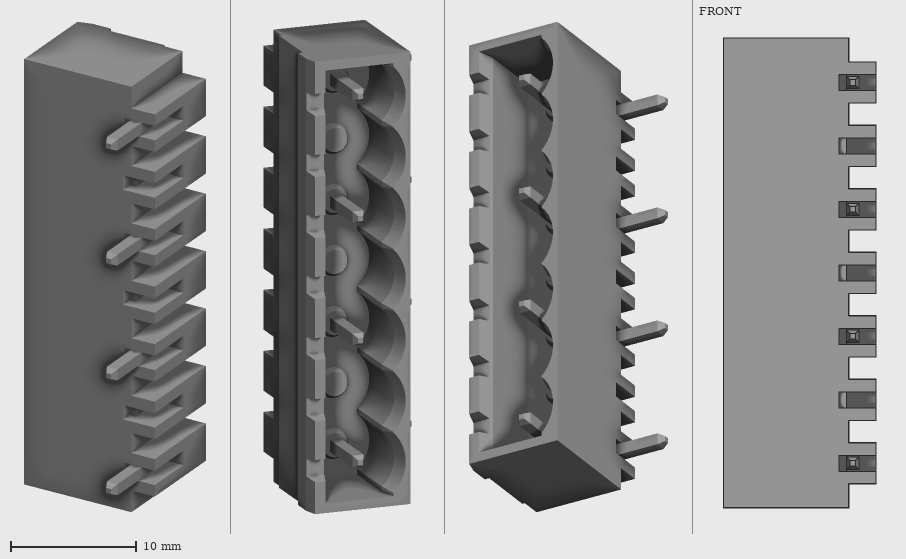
import cadquery as cq

positions = 7
pitch = 5.07
position_heights = [(i - (positions - 1) / 2) * pitch for i in range(positions)]
pin_heights = position_heights[::2]

length = 37.55
total_depth = 12.2
body_depth = 10.03
body_height = 7.85
shoulder_height = 8.08
shoulder_end = 8.2
rib_height = 8.5
rib_end = 2.95
rib_lead_in = 1.2
rib_lead_in_drop = 0.3

end_wall = 0.8
cavity_length = length - 2 * end_wall
cavity_depth = 7.0
axis_y = 3.9
lobe_radius = 3.08
valley_y = 1.88
cavity_top = 6.87
lip_depth = 1.5
lip_flare = 0.4

notch_depth = 1.13
notch_floor_width = 1.4
notch_mouth_width = 1.85

boss_base_radius = 1.28
boss_top_radius = 1.0
boss_height = 0.5

tab_width = 3.3
slot_width = 1.28
slot_entry_x = 9.25
slot_entry_depth = 1.0

pin_size = 0.98
contact_tip_x = 0.98
solder_pin_x = 10.33
solder_pin_length = 4.02
tip_length = 0.55
tip_size = 0.45

slot_x = solder_pin_x - pin_size / 2
slot_depth = axis_y + pin_size / 2


def block(x0, x1, y0, y1, height, centre_z=0.0):
    """Box spanning x0..x1 and y0..y1, with its height centred on centre_z."""
    box = cq.Workplane("XY").box(x1 - x0, y1 - y0, height, centered=(False, False, True))
    return box.translate((x0, y0, centre_z))


def prism_along_z(points, height):
    """XY outline extruded along Z, centred on the origin."""
    outline = cq.Workplane("XY").polyline(points).close()
    return outline.extrude(height / 2, both=True)


def cone_along_x(start_radius, end_radius, x0, depth, z):
    """Cone running in +X on the contact axis at height z."""
    axis_start = cq.Vector(x0, axis_y, z)
    cone = cq.Solid.makeCone(start_radius, end_radius, depth, axis_start, cq.Vector(1, 0, 0))
    return cq.Workplane(obj=cone)


def make_housing():
    profile = [
        (0, 0),
        (body_depth, 0),
        (body_depth, body_height),
        (shoulder_end, body_height),
        (shoulder_end, shoulder_height),
        (rib_end, shoulder_height),
        (rib_end, rib_height),
        (rib_lead_in, rib_height),
        (0, rib_height - rib_lead_in_drop),
    ]
    housing = prism_along_z(profile, length)
    for z in position_heights:
        housing = housing.union(block(shoulder_end, total_depth, 0, body_height, tab_width, z))
    return housing


def make_cavity():
    """Pocket flared at the mouth, with one rounded lobe per position in its -Y wall."""
    profile = [
        (0, valley_y - lip_flare),
        (lip_depth, valley_y),
        (cavity_depth, valley_y),
        (cavity_depth, cavity_top),
        (lip_depth, cavity_top),
        (0, cavity_top + lip_flare),
    ]
    cavity = prism_along_z(profile, cavity_length)
    lobe_side = block(0, cavity_depth, 0, axis_y, cavity_length)
    for z in position_heights:
        lobe = cq.Workplane("YZ").center(axis_y, z).circle(lobe_radius).extrude(cavity_depth)
        flare = cone_along_x(lobe_radius + lip_flare, lobe_radius, 0, lip_depth, z)
        cavity = cavity.union(lobe.union(flare).intersect(lobe_side))
    return cavity


def make_notch(z):
    """Tapered notch through the rib wall, wider at the mating face."""
    outline = [
        (0, z - notch_mouth_width / 2),
        (notch_depth, z - notch_floor_width / 2),
        (notch_depth, z + notch_floor_width / 2),
        (0, z + notch_mouth_width / 2),
    ]
    notch = cq.Workplane("XZ", origin=(0, axis_y, 0)).polyline(outline).close()
    return notch.extrude(axis_y - rib_height)


def make_slot(z):
    """Pin slot open to the bottom and rear, with a shallow step in front."""
    slot = block(slot_x, total_depth, 0, slot_depth, slot_width, z)
    return slot.union(block(slot_entry_x, slot_x, 0, slot_entry_depth, slot_width, z))


def make_pointed_bar(bar_length):
    """Square bar running up +Z from the origin and ending in a truncated pyramid."""
    bar = cq.Workplane("XY").rect(pin_size, pin_size).extrude(bar_length - tip_length)
    tip = (
        cq.Workplane("XY", origin=(0, 0, bar_length - tip_length))
        .rect(pin_size, pin_size)
        .workplane(offset=tip_length)
        .rect(tip_size, tip_size)
        .loft(combine=True)
    )
    return bar.union(tip)


def make_pin(z):
    """Contact leg towards -X and solder leg towards -Y, meeting in a square corner."""
    contact = make_pointed_bar(slot_x + pin_size - contact_tip_x)
    contact = contact.rotate((0, 0, 0), (0, 1, 0), -90).translate((slot_x + pin_size, axis_y, z))
    solder = make_pointed_bar(axis_y + solder_pin_length)
    solder = solder.rotate((0, 0, 0), (1, 0, 0), 90).translate((solder_pin_x, axis_y, z))
    return contact.union(solder)


result = make_housing().cut(make_cavity())
for z in position_heights:
    boss = cone_along_x(boss_top_radius, boss_base_radius, cavity_depth - boss_height, boss_height, z)
    result = result.cut(make_notch(z)).cut(make_slot(z)).union(boss)
for z in pin_heights:
    result = result.union(make_pin(z))